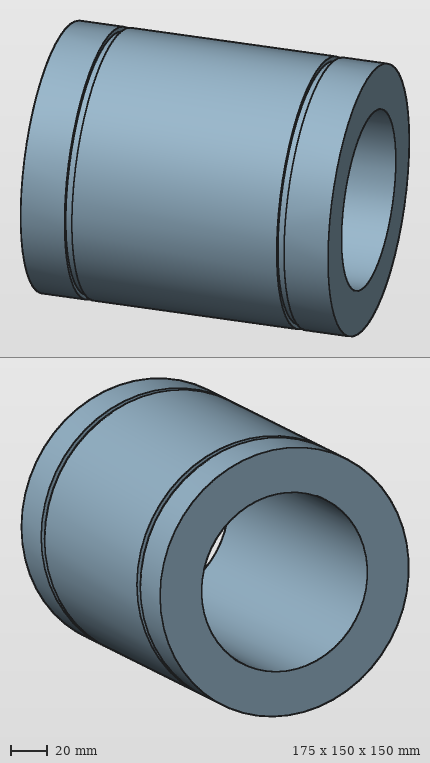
import cadquery as cq

length = 175.0
outer_diameter = 150.0
bore_diameter = 100.0
groove_diameter = 145.0
groove_width = 4.2
end_land = 25.0


def tube(start_x, tube_length, outside, inside):
    """Tube along X, beginning at start_x."""
    return (
        cq.Workplane("YZ", origin=(start_x, 0, 0))
        .circle(outside / 2)
        .circle(inside / 2)
        .extrude(tube_length)
    )


result = tube(-length / 2, length, outer_diameter, bore_diameter)

groove_center = length / 2 - end_land - groove_width / 2
for side in (-1, 1):
    groove_start = side * groove_center - groove_width / 2
    result = result.cut(tube(groove_start, groove_width, outer_diameter, groove_diameter))